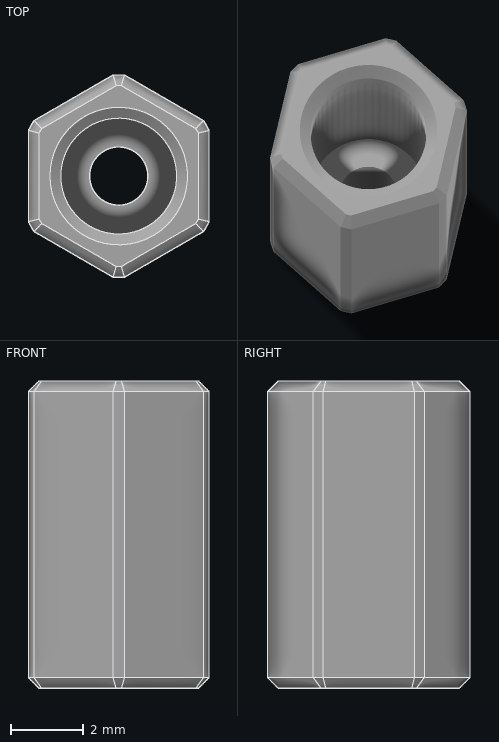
import cadquery as cq
import math

length = 8.5
across_flats = 5.0
corner_diameter = 5.6
edge_chamfer = 0.3
bore_diameter = 3.2
bore_depth = 6.0
through_diameter = 1.6

hexagon_turn = 90
sharp_across_corners = across_flats / math.cos(math.radians(30))


def make_hexagonal_body():
    """Hexagonal bar with its corners turned round and both ends chamfered."""
    base = cq.Workplane("XY").transformed(rotate=(0, 0, hexagon_turn))
    hexagonal_bar = base.polygon(6, sharp_across_corners).extrude(length)
    round_bar = base.circle(corner_diameter / 2).extrude(length)
    body = hexagonal_bar.intersect(round_bar)
    return body.faces("<Z or >Z").chamfer(edge_chamfer)


def drill_stepped_hole(body):
    """Blind bore from the top with a chamfered mouth, then a through hole."""
    top_face = body.faces(">Z").workplane(origin=(0, 0, length))
    bored = top_face.cboreHole(through_diameter, bore_diameter, bore_depth)
    mouth_edge = bored.faces(">Z").edges(cq.selectors.RadiusNthSelector(0))
    return mouth_edge.chamfer(edge_chamfer)


result = drill_stepped_hole(make_hexagonal_body())